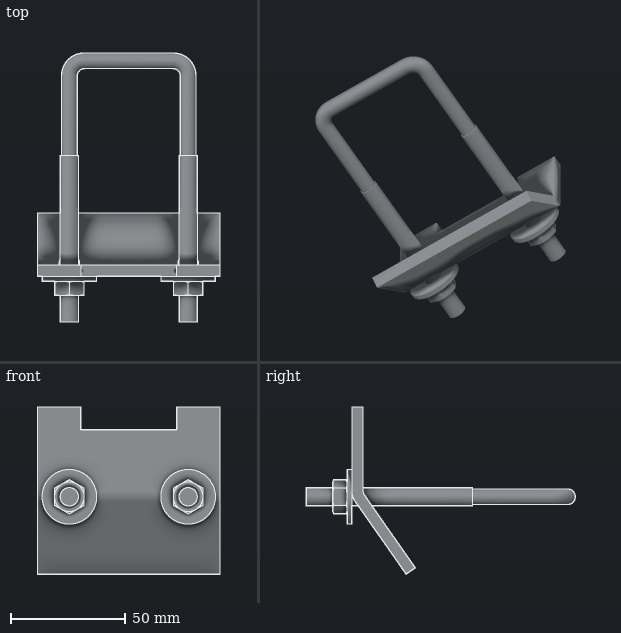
import cadquery as cq
import math


BOLT_SPACING = 52.0

PLATE_WIDTH = 80.0
PLATE_THICKNESS = 5.0
PLATE_TOP = 39.4
UPRIGHT_LENGTH = 36.9
FOLDED_LENGTH = 38.9
BEND_INNER_RADIUS = 3.0
BEND_ANGLE = math.radians(35)
NOTCH_WIDTH = 42.0
NOTCH_DEPTH = 10.0
HOLE_DIAMETER = 9.0

SHANK_DIAMETER = 7.0
THREAD_DIAMETER = 8.0
THREAD_LENGTH = 72.9
BOLT_LENGTH = 118.0
BOLT_PROJECTION = 20.1
CORNER_OUTER_RADIUS = 10.0

WASHER_DIAMETER = 24.0
WASHER_BORE = 8.4
WASHER_THICKNESS = 2.1
NUT_ACROSS_FLATS = 13.0
NUT_HEIGHT = 6.3
HEXAGON_HALF_SECTOR = 30
NUT_CHAMFER_ANGLE = math.radians(20)

SIDES = (-1, 1)


def cylinder_along_y(x, diameter, start_y, end_y):
    """Round bar with its axis at (x, Z = 0), running from start_y up to end_y."""
    disc = cq.Workplane("XZ", origin=(x, start_y, 0)).circle(diameter / 2)
    return disc.extrude(start_y - end_y)


def make_plate():
    """Bent plate with a notch in its upper edge and two bolt holes through the bend."""
    bend_z = PLATE_TOP - UPRIGHT_LENGTH
    bend_outer_radius = BEND_INNER_RADIUS + PLATE_THICKNESS
    bend_center_y = bend_outer_radius

    def bend_point(radius, angle, distance=0):
        """(Y, Z) on the bend at an angle, moved on by a distance along the tangent."""
        y = bend_center_y - radius * math.cos(angle) + distance * math.sin(angle)
        z = bend_z - radius * math.sin(angle) - distance * math.cos(angle)
        return y, z

    section = (
        cq.Workplane("YZ", origin=(-PLATE_WIDTH / 2, 0, 0))
        .moveTo(0, PLATE_TOP)
        .lineTo(0, bend_z)
        .threePointArc(
            bend_point(bend_outer_radius, BEND_ANGLE / 2),
            bend_point(bend_outer_radius, BEND_ANGLE),
        )
        .lineTo(*bend_point(bend_outer_radius, BEND_ANGLE, FOLDED_LENGTH))
        .lineTo(*bend_point(BEND_INNER_RADIUS, BEND_ANGLE, FOLDED_LENGTH))
        .lineTo(*bend_point(BEND_INNER_RADIUS, BEND_ANGLE))
        .threePointArc(
            bend_point(BEND_INNER_RADIUS, BEND_ANGLE / 2),
            (PLATE_THICKNESS, bend_z),
        )
        .lineTo(PLATE_THICKNESS, PLATE_TOP)
        .close()
    )
    plate = section.extrude(PLATE_WIDTH)

    notch = cq.Workplane("XY").box(
        NOTCH_WIDTH, 2 * PLATE_THICKNESS, 2 * NOTCH_DEPTH
    ).translate((0, PLATE_THICKNESS / 2, PLATE_TOP))
    plate = plate.cut(notch)

    hole_end_y = bend_point(BEND_INNER_RADIUS, BEND_ANGLE, FOLDED_LENGTH)[0]
    for side in SIDES:
        plate = plate.cut(cylinder_along_y(side * BOLT_SPACING / 2, HOLE_DIAMETER, 0, hole_end_y))
    return plate


def make_u_bolt():
    """Round bar bent into a U, with thicker threaded ends."""
    leg_x = BOLT_SPACING / 2
    thread_start_y = -BOLT_PROJECTION
    thread_end_y = thread_start_y + THREAD_LENGTH
    crown_y = BOLT_LENGTH - BOLT_PROJECTION - SHANK_DIAMETER / 2
    corner_radius = CORNER_OUTER_RADIUS - SHANK_DIAMETER / 2
    corner_y = crown_y - corner_radius
    corner_x = leg_x - corner_radius
    arc_mid_x = corner_x + corner_radius * math.sqrt(0.5)
    arc_mid_y = corner_y + corner_radius * math.sqrt(0.5)

    path = (
        cq.Workplane("XY")
        .moveTo(-leg_x, thread_end_y)
        .lineTo(-leg_x, corner_y)
        .threePointArc((-arc_mid_x, arc_mid_y), (-corner_x, crown_y))
        .lineTo(corner_x, crown_y)
        .threePointArc((arc_mid_x, arc_mid_y), (leg_x, corner_y))
        .lineTo(leg_x, thread_end_y)
    )
    bolt = (
        cq.Workplane("XZ", origin=(-leg_x, thread_end_y, 0))
        .circle(SHANK_DIAMETER / 2)
        .sweep(path)
    )
    for side in SIDES:
        bolt = bolt.union(
            cylinder_along_y(side * leg_x, THREAD_DIAMETER, thread_start_y, thread_end_y)
        )
    return bolt


def make_washer(side):
    """Flat washer lying against the plate's front face."""
    x = side * BOLT_SPACING / 2
    disc = cylinder_along_y(x, WASHER_DIAMETER, -WASHER_THICKNESS, 0)
    return disc.cut(cylinder_along_y(x, WASHER_BORE, -WASHER_THICKNESS, 0))


def make_nut(side):
    """Hexagon nut with corners up and down, chamfered at both ends."""
    x = side * BOLT_SPACING / 2
    back_y = -WASHER_THICKNESS
    front_y = back_y - NUT_HEIGHT
    flat_radius = NUT_ACROSS_FLATS / 2
    corner_radius = flat_radius / math.cos(math.radians(HEXAGON_HALF_SECTOR))
    chamfer_depth = (corner_radius - flat_radius) * math.tan(NUT_CHAMFER_ANGLE)

    hexagon = (
        cq.Workplane("XZ", origin=(x, back_y, 0))
        .transformed(rotate=(0, 0, HEXAGON_HALF_SECTOR))
        .polygon(6, 2 * corner_radius)
        .extrude(NUT_HEIGHT)
    )
    chamfered_round = (
        cq.Workplane("XY", origin=(x, 0, 0))
        .moveTo(0, front_y)
        .lineTo(flat_radius, front_y)
        .lineTo(corner_radius, front_y + chamfer_depth)
        .lineTo(corner_radius, back_y - chamfer_depth)
        .lineTo(flat_radius, back_y)
        .lineTo(0, back_y)
        .close()
        .revolve(360, (0, 0, 0), (0, 1, 0))
    )
    bore = cylinder_along_y(x, THREAD_DIAMETER, front_y, back_y)
    return hexagon.intersect(chamfered_round).cut(bore)


plate = make_plate()
u_bolt = make_u_bolt()
washers = [make_washer(side) for side in SIDES]
nuts = [make_nut(side) for side in SIDES]

result = cq.Compound.makeCompound(
    [plate.val(), u_bolt.val()]
    + [washer.val() for washer in washers]
    + [nut.val() for nut in nuts]
)